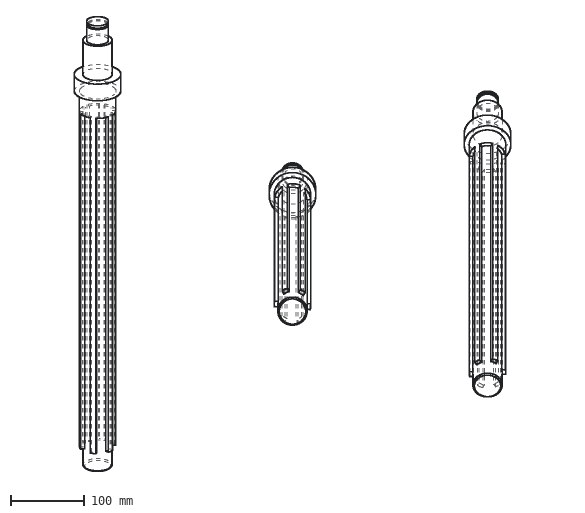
import cadquery as cq

lower_journal_length = 30.0
spline_length = 505.0
shoulder_length = 30.0
flange_thickness = 25.0
upper_journal_length = 51.5
stub_length = 28.5

journal_diameter = 40.0
spline_outer_diameter = 50.0
flange_diameter = 64.0
stub_diameter = 30.0
groove_diameter = 27.9

tooth_count = 6
tooth_width = 8.0
first_tooth_angle = 90.0

groove_width = 1.6
groove_end_distance = 4.1

lower_end_chamfer = 2.0

spline_bottom = lower_journal_length
spline_top = spline_bottom + spline_length
flange_bottom = spline_top + shoulder_length
flange_top = flange_bottom + flange_thickness
stub_bottom = flange_top + upper_journal_length
shaft_top = stub_bottom + stub_length


def cylinder(diameter, bottom, top):
    """Solid cylinder on the Z axis between two levels."""
    return cq.Workplane("XY").workplane(offset=bottom).circle(diameter / 2).extrude(top - bottom)


def stepped_shaft():
    """Plain round body; the lower journal continues upward as the spline root."""
    root = cylinder(journal_diameter, 0, spline_top).faces("<Z").chamfer(lower_end_chamfer)
    shoulder = cylinder(spline_outer_diameter, spline_top, flange_bottom)
    flange = cylinder(flange_diameter, flange_bottom, flange_top)
    upper_journal = cylinder(journal_diameter, flange_top, stub_bottom)
    stub = cylinder(stub_diameter, stub_bottom, shaft_top)
    return root.union(shoulder).union(flange).union(upper_journal).union(stub)


def spline_teeth():
    """Parallel-sided radial teeth with tips on the spline outer diameter."""
    bars = cq.Workplane("XY")
    bar_length = spline_outer_diameter / 2 + tooth_width
    for index in range(tooth_count):
        bar = (
            cq.Workplane("XY")
            .workplane(offset=spline_bottom)
            .center(bar_length / 2, 0)
            .rect(bar_length, tooth_width)
            .extrude(spline_length)
        )
        angle = first_tooth_angle + index * 360 / tooth_count
        bars = bars.union(bar.rotate((0, 0, 0), (0, 0, 1), angle))
    return bars.intersect(cylinder(spline_outer_diameter, spline_bottom, spline_top))


def ring_groove():
    """Ring of material removed around the stub for a retaining ring."""
    groove_top = shaft_top - groove_end_distance
    groove_bottom = groove_top - groove_width
    outside = cylinder(journal_diameter, groove_bottom, groove_top)
    return outside.cut(cylinder(groove_diameter, groove_bottom, groove_top))


result = stepped_shaft().union(spline_teeth()).cut(ring_groove())